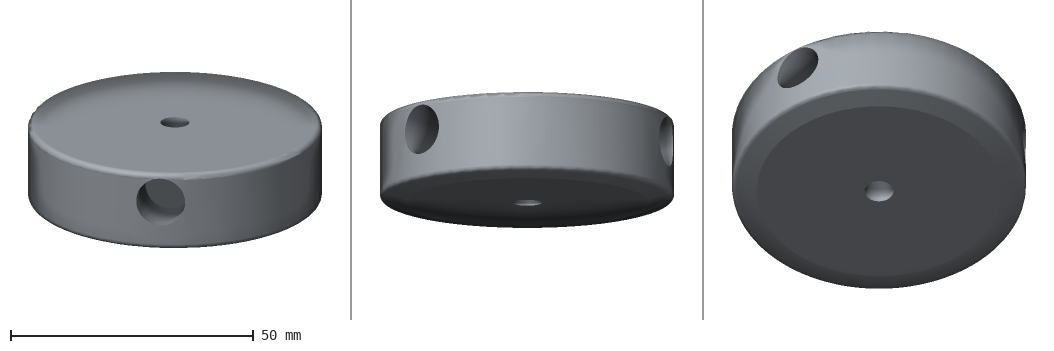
import cadquery as cq
import math

disc_diameter = 60.6
disc_height = 17.3
disc_radius = disc_diameter / 2
top_fillet = 1.2
bottom_fillet = 1.05

bottom_flat_radius = 25.2
bottom_cone_angle = 10.0

bore_diameter = 6.0

socket_count = 3
socket_first_angle = 90.0
socket_diameter = 10.1
socket_mouth_height = 11.15
socket_tilt = 10.0
socket_depth = 20.0
socket_overrun = 3.05


def make_disc():
    cone_rise = (disc_radius - bottom_flat_radius) * math.tan(math.radians(bottom_cone_angle))
    disc = (
        cq.Workplane("XZ")
        .polyline([
            (0, 0),
            (bottom_flat_radius, 0),
            (disc_radius, cone_rise),
            (disc_radius, disc_height),
            (0, disc_height),
        ])
        .close()
        .revolve(360, (0, 0, 0), (0, 1, 0))
    )
    disc = disc.faces(">Z").edges().fillet(top_fillet)
    lower_rim = disc.edges(cq.selectors.RadiusNthSelector(-1)).edges("<Z")
    return lower_rim.fillet(bottom_fillet)


def make_socket_cutter(angle):
    heading = math.radians(angle)
    tilt = math.radians(socket_tilt)
    outward = cq.Vector(
        math.cos(tilt) * math.cos(heading),
        math.cos(tilt) * math.sin(heading),
        math.sin(tilt),
    )
    mouth = cq.Vector(
        disc_radius * math.cos(heading),
        disc_radius * math.sin(heading),
        socket_mouth_height,
    )
    return cq.Solid.makeCylinder(
        socket_diameter / 2,
        socket_depth + socket_overrun,
        mouth + outward * socket_overrun,
        outward * -1,
    )


result = make_disc().faces(">Z").workplane().hole(bore_diameter)

for index in range(socket_count):
    socket_angle = socket_first_angle + index * 360 / socket_count
    result = result.cut(cq.Workplane(make_socket_cutter(socket_angle)))